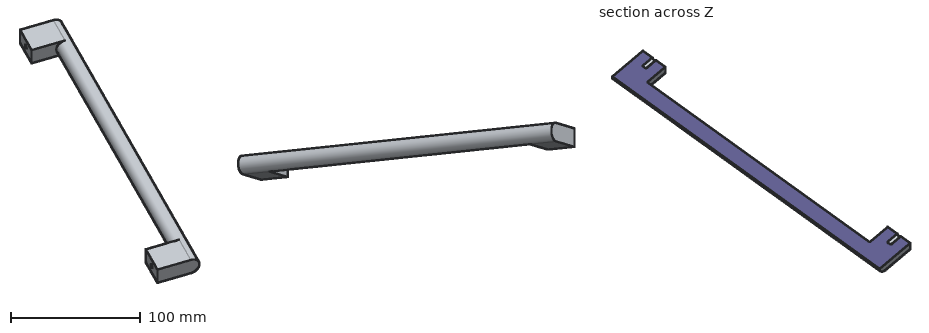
import cadquery as cq

length = 281.0
depth = 35.0
bar_diameter = 14.5

leg_width = 24.0
hole_diameter = 3.5
hole_depth = 11.2

bar_radius = bar_diameter / 2
bar_axis_y = depth - bar_radius
leg_center_x = (length - leg_width) / 2


def round_bar():
    """Full-length cylindrical grip."""
    return (
        cq.Workplane("YZ", origin=(-length / 2, bar_axis_y, 0))
        .circle(bar_radius)
        .extrude(length)
    )


def leg(center_x):
    """Rectangular leg, as tall as the bar, ending at the bar axis."""
    return (
        cq.Workplane("XY")
        .box(leg_width, bar_axis_y, bar_diameter)
        .translate((center_x, bar_axis_y / 2, 0))
    )


def screw_hole(center_x):
    """Blind hole bored from the mounting face into the leg."""
    return (
        cq.Workplane("XZ", origin=(center_x, 0, 0))
        .circle(hole_diameter / 2)
        .extrude(-hole_depth)
    )


result = round_bar()
for center_x in (-leg_center_x, leg_center_x):
    result = result.union(leg(center_x)).cut(screw_hole(center_x))